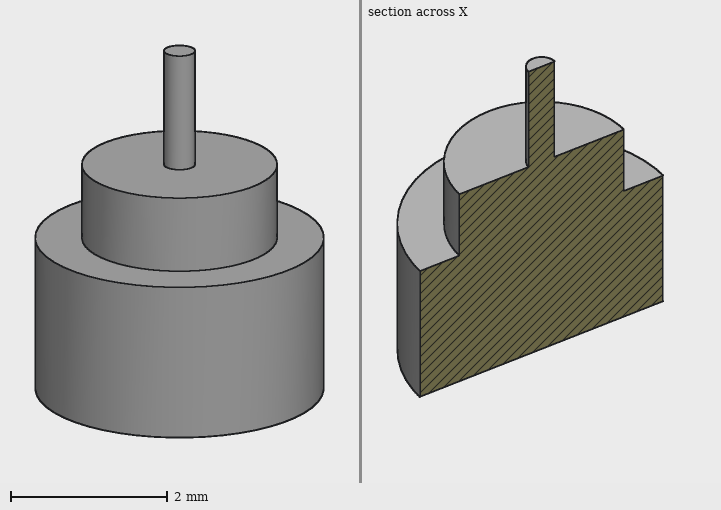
import cadquery as cq

total_height = 4.6
base_height = 2.05
collar_height = 1.0
collar_top = base_height + collar_height
pin_height = total_height - collar_top

base_diameter = 3.7
collar_diameter = 2.502
insert_diameter = 1.95
pin_diameter = 0.4


def cylinder(diameter, height, bottom):
    """Upright cylinder on the Z axis, starting at the given level."""
    return cq.Workplane("XY").workplane(offset=bottom).circle(diameter / 2).extrude(height)


base = cylinder(base_diameter, base_height, 0)
collar = cylinder(collar_diameter, collar_height, base_height)
insert = cylinder(insert_diameter, collar_height, base_height)
pin = cylinder(pin_diameter, pin_height, collar_top)

result = base.union(collar).union(insert, clean=False).union(pin, clean=False)